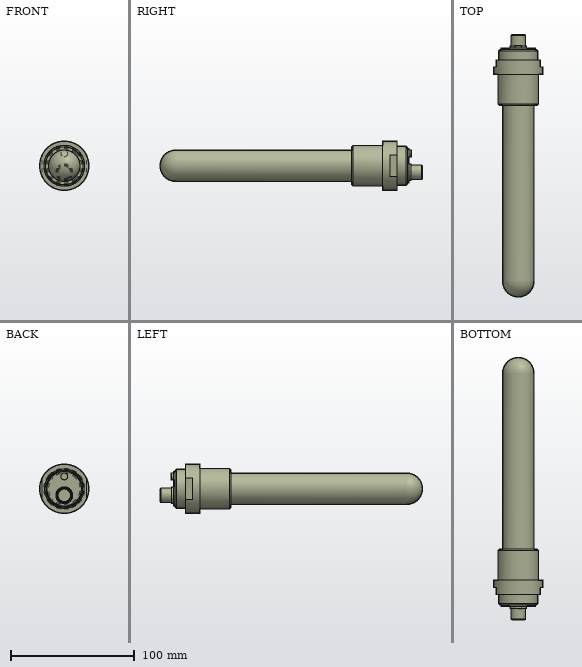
import cadquery as cq
import math

total_length = 212.5

connector_flange_start = 9.5
screw_top = 9.1
end_disc_start = 11.0
cover_start = 12.3
collar_start = 20.6
flats_end = 26.4
collar_end = 32.3
sleeve_end = 57.4

tube_radius = 25.5 / 2
sleeve_radius = 33.2 / 2
collar_radius = 40.0 / 2
cover_radius = 31.9 / 2
end_disc_radius = 27.8 / 2
sleeve_chamfer = 1.3
cover_chamfer = 1.0

across_flats = 36.0

connector_radius = 12.0 / 2
connector_flange_radius = 13.5 / 2
connector_z = -5.3
connector_chamfer = 0.8
screw_radius = 5.5 / 2
screw_z = 10.0


def from_end(distance):
    """Y position at a distance back from the connector end."""
    return total_length - distance


def cylinder(radius, y_start, y_end, z=0):
    """Solid cylinder parallel to Y, between two Y positions."""
    return cq.Workplane("XZ", origin=(0, y_start, z)).circle(radius).extrude(y_start - y_end)


def make_body():
    """Revolve the half outline of tube, sleeve, collar, cover and end disc about Y."""
    dome_mid = tube_radius * math.sqrt(0.5)
    return (
        cq.Workplane("XY")
        .moveTo(0, 0)
        .threePointArc((dome_mid, tube_radius - dome_mid), (tube_radius, tube_radius))
        .lineTo(tube_radius, from_end(sleeve_end))
        .lineTo(sleeve_radius - sleeve_chamfer, from_end(sleeve_end))
        .lineTo(sleeve_radius, from_end(sleeve_end - sleeve_chamfer))
        .lineTo(sleeve_radius, from_end(collar_end))
        .lineTo(collar_radius, from_end(collar_end))
        .lineTo(collar_radius, from_end(collar_start))
        .lineTo(cover_radius, from_end(collar_start))
        .lineTo(cover_radius, from_end(cover_start + cover_chamfer))
        .lineTo(cover_radius - cover_chamfer, from_end(cover_start))
        .lineTo(end_disc_radius, from_end(cover_start))
        .lineTo(end_disc_radius, from_end(end_disc_start))
        .lineTo(0, from_end(end_disc_start))
        .close()
        .revolve(360, (0, 0, 0), (0, 1, 0))
    )


def cut_flats(body):
    """Cut a flat on each X side of the collar, open toward the connector end."""
    flat_length = flats_end - collar_start
    middle_y = from_end((flats_end + collar_start) / 2)
    for side in (-1, 1):
        cutter = (
            cq.Workplane("XY")
            .box(collar_radius, flat_length, 2 * collar_radius)
            .translate((side * (across_flats + collar_radius) / 2, middle_y, 0))
        )
        body = body.cut(cutter)
    return body


def make_connector():
    """Round plug with a chamfered end, standing on a slightly wider flange."""
    root = from_end(cover_start)
    plug = cylinder(connector_radius, root, total_length, connector_z)
    plug = plug.faces(">Y").chamfer(connector_chamfer)
    flange = cylinder(connector_flange_radius, root, from_end(connector_flange_start), connector_z)
    return plug.union(flange)


def make_screw():
    """Plain screw head above the connector."""
    return cylinder(screw_radius, from_end(cover_start), from_end(screw_top), screw_z)


result = cut_flats(make_body()).union(make_connector()).union(make_screw())